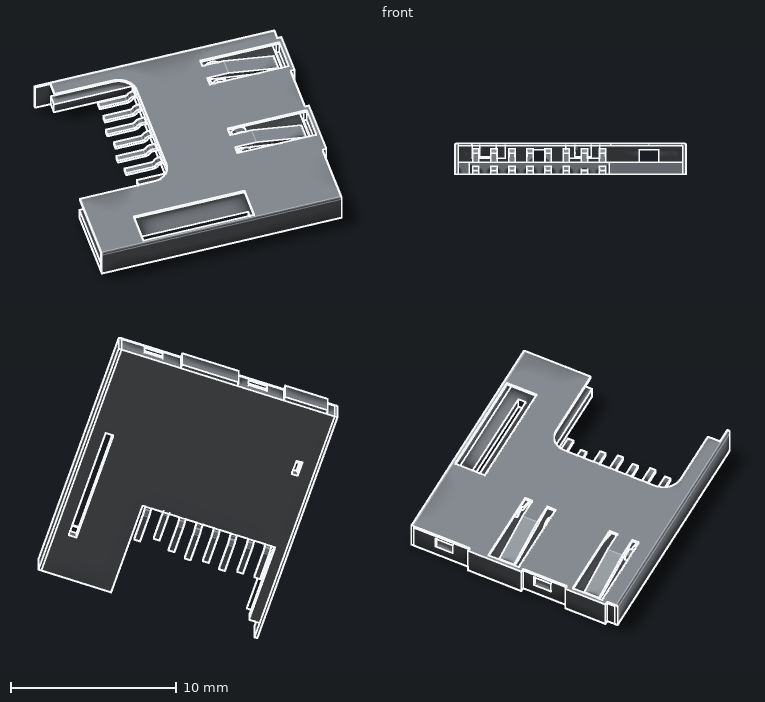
import cadquery as cq
import math

length = 15.45
width = 14.0
height = 1.88
plate_thickness = 0.15
wall = 0.19
shell_corner = 0.12
tab_thickness = 0.25
rear = length - tab_thickness
plate_underside = height - plate_thickness

cutout_left = 1.0
cutout_right = 9.44
cutout_rear = 5.84
cutout_radius = 1.17
left_arm_front = 0.99
tab_spans = [(0.7, 3.43), (6.4, 10.01)]
spring_window_spans = [(1.05, 3.05), (6.7, 8.76)]
spring_window_front = 10.21
spring_starts = [1.5, 7.26]
side_window_left = 11.74
side_window_right = 13.75
side_window_front = 2.72
side_window_rear = 9.73

spring_width = 1.0
spring_bend = 11.54
spring_tip = 14.71
spring_fall = 0.62
spring_foot = 14.09
spring_foot_bottom = 1.07

floor_top = 0.74
housing_cutout_left = 0.87
housing_cutout_right = 9.35
housing_cutout_rear = 5.96
rear_wall_front = 15.02
notch_bottom = 0.97
vent_starts = [4.51, 11.17]
vent_width = 1.17
vent_top = 1.48
floor_slot_left = 12.48
floor_slot_right = 12.98
contact_hole_front = 10.82
contact_hole_rear = 11.73

first_pin = 1.07
pin_pitch = 1.1
pin_width = 0.39
pin_thickness = 0.2
tail_tip = 3.71
tail_bend = 5.92
tail_advances = [0, 0, 0.19, 0, 0.19, 0, -0.43, 0]
bend_inner = 0.2
bend_outer = bend_inner + pin_thickness
tail_bend_angle = 60
beam_angle = 18
contact_peak_y = 10.92
contact_peak_z = 1.55
contact_radius = 0.5
contact_angle = 62


def box(x_start, x_end, y_start, y_end, z_start, z_end):
    """Axis-aligned block between the given limits."""
    block = cq.Workplane("XY").box(x_end - x_start, y_end - y_start, z_end - z_start, centered=False)
    return block.translate((x_start, y_start, z_start))


def spring_leaf(x_start):
    """Leaf that starts flush with the plate at the window front, then slopes down to a level foot."""
    profile = [
        (spring_window_front, height),
        (spring_bend, height),
        (spring_tip, height - spring_fall),
        (spring_tip, spring_foot_bottom),
        (spring_foot, spring_foot_bottom),
        (spring_window_front, plate_underside),
    ]
    return cq.Workplane("YZ").polyline(profile).close().extrude(spring_width).translate((x_start, 0, 0))


def make_shell():
    """Folded sheet cover with rear tabs, two spring windows and a side window."""
    cover = box(0, width, 0, rear, 0, height).edges("|Y and >Z").fillet(shell_corner)
    cover = cover.cut(box(wall, width - wall, 0, rear, 0, plate_underside))

    front_cutout = box(cutout_left, cutout_right, 0, cutout_rear, plate_underside, height)
    cover = cover.cut(front_cutout.edges("|Z and >Y").fillet(cutout_radius))
    cover = cover.cut(box(wall, cutout_left, 0, left_arm_front, plate_underside, height))
    cover = cover.cut(
        box(side_window_left, side_window_right, side_window_front, side_window_rear, plate_underside, height)
    )

    for x_start, x_end in tab_spans:
        cover = cover.union(box(x_start, x_end, rear, length, 0, height))
    for x_start, x_end in spring_window_spans:
        cover = cover.cut(box(x_start, x_end, spring_window_front, rear, plate_underside, height))
    for x_start in spring_starts:
        cover = cover.union(spring_leaf(x_start))
    return cover


def make_pin(x_start, tail_advance):
    """Contact pin: low tail, S-bend up into the housing, sloping beam and rounded contact."""

    def around(centre, radius, degrees):
        """Point at an angle from straight up, positive toward the rear."""
        angle = math.radians(degrees)
        return (centre[0] + radius * math.sin(angle), centre[1] + radius * math.cos(angle))

    bend_sum = bend_inner + bend_outer
    bend_run = bend_sum * math.sin(math.radians(tail_bend_angle))
    bend_drop = bend_sum * (1 - math.cos(math.radians(tail_bend_angle)))
    tip = tail_tip - tail_advance
    bend_start = tail_bend - tail_advance
    bend_end = bend_start - bend_run
    level_top = pin_thickness + bend_drop
    level_bottom = level_top - pin_thickness
    upper = (bend_start, level_top - bend_outer)
    lower = (bend_end, bend_outer)
    half_bend = tail_bend_angle / 2

    contact = (contact_peak_y, contact_peak_z - contact_radius)
    contact_inner = contact_radius - pin_thickness
    slope = math.radians(beam_angle)
    beam_end = around(contact, contact_radius, -contact_angle)
    beam_end_below = (
        beam_end[0] + pin_thickness * math.sin(slope),
        beam_end[1] - pin_thickness * math.cos(slope),
    )
    beam_start = beam_end[0] - (beam_end[1] - level_top) / math.tan(slope)
    beam_start_below = beam_start + pin_thickness * math.tan(slope / 2)

    profile = (
        cq.Workplane("YZ")
        .moveTo(tip, 0)
        .lineTo(tip, pin_thickness)
        .lineTo(bend_end, pin_thickness)
        .threePointArc(
            around(lower, bend_inner, 180 - half_bend), around(lower, bend_inner, 180 - tail_bend_angle)
        )
        .threePointArc(around(upper, bend_outer, -half_bend), (bend_start, level_top))
        .lineTo(beam_start, level_top)
        .lineTo(*beam_end)
        .threePointArc((contact_peak_y, contact_peak_z), around(contact, contact_radius, contact_angle))
        .lineTo(*around(contact, contact_inner, contact_angle))
        .threePointArc(
            (contact_peak_y, contact_peak_z - pin_thickness), around(contact, contact_inner, -contact_angle)
        )
        .lineTo(*beam_end_below)
        .lineTo(beam_start_below, level_bottom)
        .lineTo(bend_start, level_bottom)
        .threePointArc(around(upper, bend_inner, -half_bend), around(upper, bend_inner, -tail_bend_angle))
        .threePointArc(around(lower, bend_outer, 180 - half_bend), (bend_end, 0))
        .close()
    )
    return profile.extrude(pin_width).translate((x_start, 0, 0))


def make_housing(pins):
    """Moulded floor with a rear wall, fitted inside the shell and around the pins."""
    left = wall
    right = width - wall
    body = box(left, right, 0, rear, 0, floor_top)
    body = body.union(box(left, right, rear_wall_front, rear, 0, plate_underside))
    body = body.cut(box(housing_cutout_left, housing_cutout_right, 0, housing_cutout_rear, 0, floor_top))
    body = body.cut(box(left, housing_cutout_left, 0, left_arm_front, 0, floor_top))
    body = body.cut(
        box(floor_slot_left, floor_slot_right, side_window_front, side_window_rear, 0, floor_top)
    )

    for x_start, x_end in spring_window_spans:
        body = body.cut(box(x_start, x_end, rear_wall_front, rear, notch_bottom, plate_underside))
    for x_start in vent_starts:
        body = body.cut(box(x_start, x_start + vent_width, rear_wall_front, rear, floor_top, vent_top))

    body = body.cut(
        box(first_pin, first_pin + pin_width, contact_hole_front, contact_hole_rear, 0, floor_top)
    )
    for pin in pins:
        body = body.cut(pin)
    return body


pins = []
for index, tail_advance in enumerate(tail_advances):
    pins.append(make_pin(first_pin + index * pin_pitch, tail_advance))

shell = make_shell()
housing = make_housing(pins)

result = cq.Compound.makeCompound([shell.val(), housing.val(), *[pin.val() for pin in pins]])